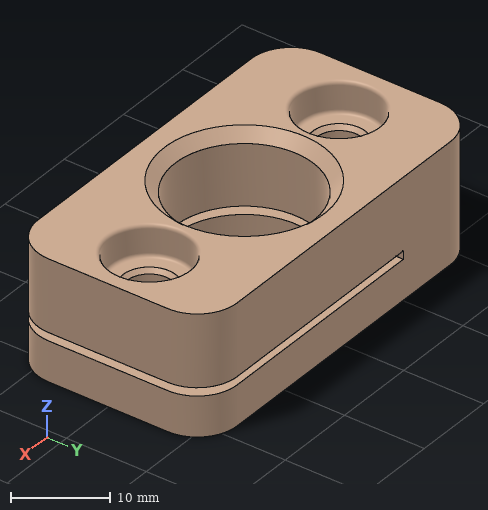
import cadquery as cq

length = 46.0
width = 25.0
height = 15.0
corner_radius = 5.0

bore_diameter = 17.3
bore_mouth_diameter = 20.0
bore_chamfer = (bore_mouth_diameter - bore_diameter) / 2

screw_spacing = 32.0
screw_diameter = 5.5
head_diameter = 10.0
head_depth = 4.0
edge_break = 0.5

slot_bottom = 5.0
slot_height = 1.0
slot_start = -10.05


def make_block():
    block = cq.Workplane("XY").box(length, width, height, centered=(True, True, False))
    return block.edges("|Z").fillet(corner_radius)


def make_bore():
    """Through bore, widening conically at the top face."""
    bore = cq.Workplane("XY").circle(bore_diameter / 2).extrude(height)
    mouth = (
        cq.Workplane("XY").workplane(offset=height)
        .circle(bore_mouth_diameter / 2)
        .extrude(-bore_chamfer, taper=45)
    )
    return bore.union(mouth)


def make_screw_hole(x):
    """Half profile of radius against height, revolved about the hole axis."""
    screw_radius = screw_diameter / 2
    head_radius = head_diameter / 2
    head_floor = height - head_depth
    bend = edge_break * 0.5 ** 0.5
    profile = (
        cq.Workplane("XZ")
        .moveTo(0, 0)
        .lineTo(screw_radius, 0)
        .lineTo(screw_radius, head_floor - edge_break)
        .lineTo(screw_radius + edge_break, head_floor)
        .lineTo(head_radius - edge_break, head_floor)
        .threePointArc(
            (head_radius - edge_break + bend, head_floor + edge_break - bend),
            (head_radius, head_floor + edge_break),
        )
        .lineTo(head_radius, height - edge_break)
        .threePointArc(
            (head_radius + edge_break - bend, height - edge_break + bend),
            (head_radius + edge_break, height),
        )
        .lineTo(0, height)
        .close()
    )
    return profile.revolve(360, (0, 0, 0), (0, 1, 0)).translate((x, 0, 0))


def make_slot():
    slot = cq.Workplane("XY").box(length / 2 - slot_start, width, slot_height, centered=(False, True, False))
    return slot.translate((slot_start, 0, slot_bottom))


result = make_block().cut(make_bore()).cut(make_slot())
for side in (-1, 1):
    result = result.cut(make_screw_hole(side * screw_spacing / 2))